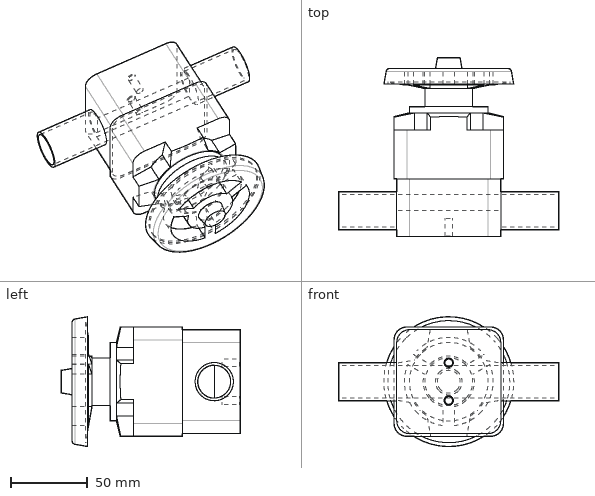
import cadquery as cq
import math


OVERALL_HEIGHT = 117.0
BASE_Y = -17.0
BODY_TOP_Y = 20.8
LEDGE_Y = 52.7
ARM_END_Y = 61.5
BONNET_TOP_Y = 63.8
FLANGE_TOP_Y = 68.0
HUB_TOP_Y = 79.9
WHEEL_BOTTOM_Y = 82.7
WHEEL_TOP_Y = 93.0
KNOB_TOP_Y = BASE_Y + OVERALL_HEIGHT

BODY_WIDTH = 68.0
BONNET_WIDTH = 71.6
CORNER_RADIUS = 8.5

DRUM_RADIUS = 26.5
FLANGE_RADIUS = 25.7
ARM_TIP_HALF_WIDTH = 11.8
ARM_ROOT_HALF_WIDTH = 14.1

PIPE_LENGTH = 144.0
PIPE_RADIUS = 12.5
BORE_RADIUS = 10.7

HUB_RADIUS = 15.6
WHEEL_RADIUS = 42.5
RIM_INNER_RADIUS = 39.9
CONE_INNER_RADIUS = 16.7
DRAFT = math.tan(math.radians(10.0))
WHEEL_FILLET = 2.5
KNOB_RADIUS = 8.7
WINDOW_OUTER_RADIUS = 29.0
SPOKE_WIDTH = 7.5
SPOKE_ANGLES = (30.0, 150.0, 270.0)

HOLE_SPACING = 24.6
HOLE_DIAMETER = 5.0
HOLE_MOUTH_DIAMETER = 6.0
HOLE_DEPTH = 12.0


def plane_at(y):
    """Plane across the stem at height y: local x is X, local y is Z, normal is -Y."""
    return cq.Workplane("XZ", origin=(0, y, 0))


def rounded_block(width, y_low, y_high):
    block = plane_at(y_high).rect(width, width).extrude(y_high - y_low)
    return block.edges("|Y").fillet(CORNER_RADIUS)


def disc(radius, y_low, y_high):
    return plane_at(y_high).circle(radius).extrude(y_high - y_low)


def revolve_about_stem(points):
    """Revolve a closed (radius, height) profile about the stem axis."""
    return cq.Workplane("XY").polyline(points).close().revolve(360, (0, 0, 0), (0, 1, 0))


def arm_cone():
    """Envelope that slopes the arm tops down from the drum's rim."""
    slope = (BONNET_TOP_Y - ARM_END_Y) / (BONNET_WIDTH / 2 - DRUM_RADIUS)
    foot_radius = DRUM_RADIUS + (BONNET_TOP_Y - LEDGE_Y) / slope
    return revolve_about_stem([
        (0, LEDGE_Y),
        (foot_radius, LEDGE_Y),
        (DRUM_RADIUS, BONNET_TOP_Y),
        (0, BONNET_TOP_Y),
    ])


def bonnet_arm():
    """Arm towards +X, flared in plan towards the drum, with a conically sloping top."""
    tip = BONNET_WIDTH / 2
    root = math.sqrt(DRUM_RADIUS**2 - ARM_ROOT_HALF_WIDTH**2)
    plan = (
        plane_at(BONNET_TOP_Y)
        .polyline([
            (0, -ARM_ROOT_HALF_WIDTH),
            (root, -ARM_ROOT_HALF_WIDTH),
            (tip, -ARM_TIP_HALF_WIDTH),
            (tip, ARM_TIP_HALF_WIDTH),
            (root, ARM_ROOT_HALF_WIDTH),
            (0, ARM_ROOT_HALF_WIDTH),
        ])
        .close()
        .extrude(BONNET_TOP_Y - LEDGE_Y)
    )
    return plan.intersect(arm_cone())


def bonnet():
    shape = rounded_block(BONNET_WIDTH, BODY_TOP_Y, LEDGE_Y)
    shape = shape.union(disc(DRUM_RADIUS, LEDGE_Y, BONNET_TOP_Y))
    arm = bonnet_arm()
    for quarter in range(4):
        shape = shape.union(arm.rotate((0, 0, 0), (0, 1, 0), 90 * quarter))
    shape = shape.union(disc(FLANGE_RADIUS, BONNET_TOP_Y, FLANGE_TOP_Y))
    return shape.union(disc(HUB_RADIUS, FLANGE_TOP_Y, WHEEL_TOP_Y))


def wheel_windows():
    """Three openings through the wheel, between the hub and the rim web."""
    ring = (
        plane_at(WHEEL_TOP_Y)
        .circle(WINDOW_OUTER_RADIUS)
        .circle(CONE_INNER_RADIUS)
        .extrude(WHEEL_TOP_Y - HUB_TOP_Y)
    )
    for angle in SPOKE_ANGLES:
        spoke = (
            plane_at(WHEEL_TOP_Y)
            .center(WHEEL_RADIUS / 2, 0)
            .rect(WHEEL_RADIUS, SPOKE_WIDTH)
            .extrude(WHEEL_TOP_Y - HUB_TOP_Y)
            .rotate((0, 0, 0), (0, 1, 0), -angle)
        )
        ring = ring.cut(spoke)
    return ring


def hand_wheel():
    """Drafted rim with a conical underside and a tapered knob on top."""
    rim_root_y = HUB_TOP_Y + (RIM_INNER_RADIUS - CONE_INNER_RADIUS) * DRAFT
    top_radius = WHEEL_RADIUS - (WHEEL_TOP_Y - WHEEL_BOTTOM_Y) * DRAFT
    wheel = revolve_about_stem([
        (0, HUB_TOP_Y),
        (CONE_INNER_RADIUS, HUB_TOP_Y),
        (RIM_INNER_RADIUS, rim_root_y),
        (RIM_INNER_RADIUS, WHEEL_BOTTOM_Y),
        (WHEEL_RADIUS, WHEEL_BOTTOM_Y),
        (top_radius, WHEEL_TOP_Y),
        (0, WHEEL_TOP_Y),
    ])
    wheel = wheel.faces(">Y").edges().fillet(WHEEL_FILLET)
    knob = revolve_about_stem([
        (0, WHEEL_TOP_Y),
        (KNOB_RADIUS, WHEEL_TOP_Y),
        (KNOB_RADIUS - (KNOB_TOP_Y - WHEEL_TOP_Y) * DRAFT, KNOB_TOP_Y),
        (0, KNOB_TOP_Y),
    ])
    return wheel.cut(wheel_windows()).union(knob)


def pipe_passage():
    """Full bore in each pipe stub; only the +Y half continues over the weir in the body."""
    bore = cq.Workplane("YZ").circle(BORE_RADIUS).extrude(PIPE_LENGTH / 2, both=True)
    weir = cq.Workplane("XY").box(BODY_WIDTH, BORE_RADIUS, 2 * BORE_RADIUS)
    return bore.cut(weir.translate((0, -BORE_RADIUS / 2, 0)))


def mounting_holes():
    mouth = HOLE_MOUTH_DIAMETER / 2
    bore = HOLE_DIAMETER / 2
    hole = revolve_about_stem([
        (0, BASE_Y),
        (mouth, BASE_Y),
        (bore, BASE_Y + mouth - bore),
        (bore, BASE_Y + HOLE_DEPTH),
        (0, BASE_Y + HOLE_DEPTH),
    ])
    upper = hole.translate((0, 0, HOLE_SPACING / 2))
    lower = hole.translate((0, 0, -HOLE_SPACING / 2))
    return upper.union(lower)


pipe = cq.Workplane("YZ").circle(PIPE_RADIUS).extrude(PIPE_LENGTH / 2, both=True)
body = rounded_block(BODY_WIDTH, BASE_Y, BODY_TOP_Y).union(pipe)
body = body.cut(pipe_passage()).cut(mounting_holes())
result = body.union(bonnet()).union(hand_wheel())